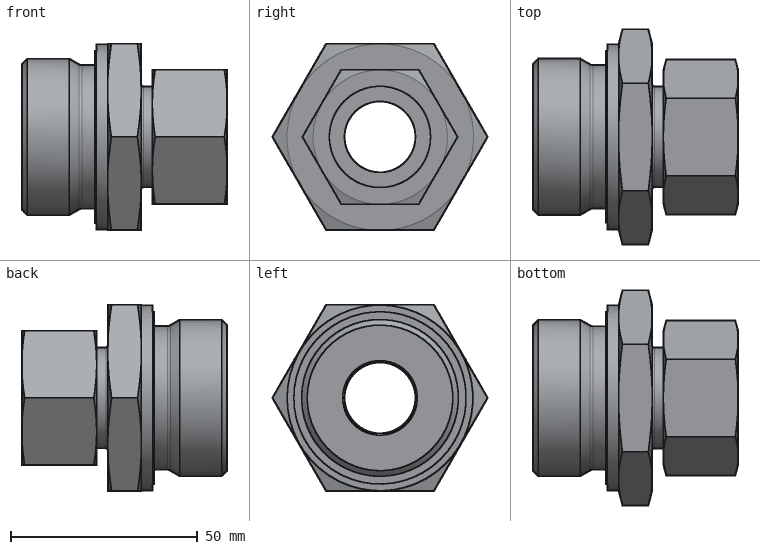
import cadquery as cq
import math


relief_start = 12.65
collar_start = 20.0
hex_start = 23.0
hex_end = 32.0
nut_start = 35.0
fitting_end = 55.0

bore_radius = 9.45
stud_radius = 21.0
relief_radius = 19.3
seal_radius = 23.1
collar_radius = 24.9
neck_radius = 13.55

body_corner_width = 57.75
nut_across_flats = 36.0
flats_to_corners = math.cos(math.radians(30))
nut_corner_width = nut_across_flats / flats_to_corners
hex_bevel_angle = math.radians(15)

stud_chamfer = 1.5
bore_chamfer = 0.5
relief_angle = math.radians(30)
relief_fillet = 1.6
neck_fillet = 0.5
seal_thickness = 0.4


def bevelled_hexagon(start, end, corner_width):
    """Hexagonal prism whose corners are cut back by a cone at both ends."""
    length = end - start
    corner_radius = corner_width / 2
    flat_radius = corner_radius * flats_to_corners
    bevel_length = (corner_radius - flat_radius) * math.tan(hex_bevel_angle)
    prism = cq.Workplane("YZ", origin=(start, 0, 0)).polygon(6, corner_width).extrude(length)
    envelope = (
        cq.Workplane("XY")
        .moveTo(start, 0)
        .lineTo(start, flat_radius)
        .lineTo(start + bevel_length, corner_radius)
        .lineTo(end - bevel_length, corner_radius)
        .lineTo(end, flat_radius)
        .lineTo(end, 0)
        .close()
        .revolve(360, (0, 0, 0), (1, 0, 0))
    )
    return prism.intersect(envelope)


def turned_body():
    """Stud, thread relief, collar and neck as one turned profile."""
    relief_corner = relief_start + (stud_radius - relief_radius) / math.tan(relief_angle)
    fillet_reach = relief_fillet * math.tan(relief_angle / 2)
    cone_end = (
        relief_corner - fillet_reach * math.cos(relief_angle),
        relief_radius + fillet_reach * math.sin(relief_angle),
    )
    return (
        cq.Workplane("XY")
        .moveTo(0, 0)
        .lineTo(0, stud_radius - stud_chamfer)
        .lineTo(stud_chamfer, stud_radius)
        .lineTo(relief_start, stud_radius)
        .lineTo(*cone_end)
        .tangentArcPoint((relief_corner + fillet_reach, relief_radius), relative=False)
        .lineTo(collar_start, relief_radius)
        .lineTo(collar_start, collar_radius)
        .lineTo(hex_end, collar_radius)
        .lineTo(hex_end, neck_radius + neck_fillet)
        .radiusArc((hex_end + neck_fillet, neck_radius), -neck_fillet)
        .lineTo(fitting_end, neck_radius)
        .lineTo(fitting_end, 0)
        .close()
        .revolve(360, (0, 0, 0), (1, 0, 0))
    )


def make_housing():
    """Turned body with its hexagon and a through bore chamfered at the stud face."""
    solid = turned_body().union(bevelled_hexagon(hex_start, hex_end, body_corner_width))
    bored = solid.cut(cq.Workplane("YZ").circle(bore_radius).extrude(fitting_end))
    mouth_edge = cq.selectors.RadiusNthSelector(0)
    return bored.faces("<X").edges(mouth_edge).chamfer(bore_chamfer)


def make_seal():
    """Flat sealing ring seated on the relief against the collar."""
    return (
        cq.Workplane("YZ", origin=(collar_start - seal_thickness, 0, 0))
        .circle(seal_radius)
        .circle(relief_radius)
        .extrude(seal_thickness)
    )


def make_nut():
    """Union nut that encloses the neck."""
    blank = bevelled_hexagon(nut_start, fitting_end, nut_corner_width)
    return blank.cut(
        cq.Workplane("YZ", origin=(nut_start, 0, 0))
        .circle(neck_radius)
        .extrude(fitting_end - nut_start)
    )


housing = make_housing()
seal = make_seal()
nut = make_nut()

result = cq.Compound.makeCompound([body.solids().val() for body in (housing, seal, nut)])